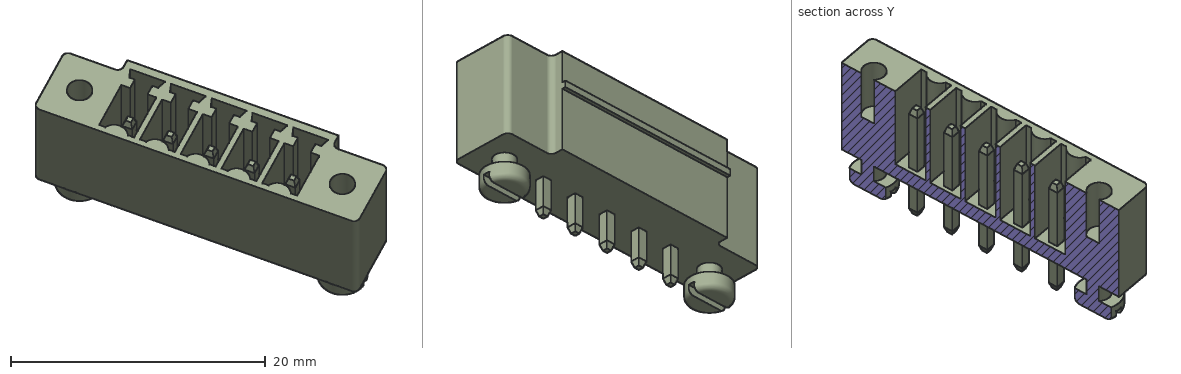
import cadquery as cq


length = 27.8
ear_depth = 6.0
center_width = 18.15
center_depth = 7.23
housing_height = 9.2
corner_radius = 0.5
corner_search = 0.03

rail_depth = 0.33
rail_height = 0.6
rail_bottom = 5.67

contact_count = 5
pitch = 3.5
row_y = ear_depth / 2

chamber_width = 3.0
chamber_front = 0.53
chamber_back = 6.5
floor_thickness = 1.5
neck_width = 1.5
neck_front = 4.8
neck_back = 5.73
dovetail_width = 2.5
bump_width = 1.92
bump_height = 0.58

pin_size = 0.85
pin_tip_size = 0.47
pin_taper = 0.58
pin_bottom = -3.4
pin_top = 7.73

screw_x = 11.3
screw_diameter = 2.0
head_diameter = 4.0
neck_length = 1.5
head_height = 1.5
head_radius = 0.5
slot_width = 0.6
slot_depth = 0.8
screw_hole_depth = housing_height / 2


def make_housing():
    """Rectangular block with a deeper middle section and rounded ears."""
    ears = cq.Workplane("XY").box(length, ear_depth, housing_height, centered=(True, False, False))
    middle = cq.Workplane("XY").box(center_width, center_depth, housing_height, centered=(True, False, False))
    ears = ears.edges("|Z").fillet(corner_radius)
    block = ears.union(middle)
    inner_corners = cq.selectors.BoxSelector(
        (-center_width / 2 - corner_radius, ear_depth - corner_search, 0),
        (center_width / 2 + corner_radius, ear_depth + corner_search, housing_height),
    )
    return block.edges("|Z").edges(inner_corners).fillet(corner_radius)


def make_rail():
    """Straight rail standing out from the back face."""
    return (
        cq.Workplane("XY", origin=(0, center_depth, rail_bottom))
        .box(center_width, rail_depth, rail_height, centered=(True, False, False))
    )


def make_chamber(x):
    """Pocket with a convex bump at the front, a narrow neck and a dovetail at the back."""
    half = chamber_width / 2
    return (
        cq.Workplane("XY", origin=(x, 0, floor_thickness))
        .moveTo(-half, chamber_front)
        .lineTo(-bump_width / 2, chamber_front)
        .threePointArc((0, chamber_front + bump_height), (bump_width / 2, chamber_front))
        .lineTo(half, chamber_front)
        .lineTo(half, neck_front)
        .lineTo(neck_width / 2, neck_front)
        .lineTo(neck_width / 2, neck_back)
        .lineTo(dovetail_width / 2, neck_back)
        .lineTo(half, chamber_back)
        .lineTo(-half, chamber_back)
        .lineTo(-dovetail_width / 2, neck_back)
        .lineTo(-neck_width / 2, neck_back)
        .lineTo(-neck_width / 2, neck_front)
        .lineTo(-half, neck_front)
        .close()
        .extrude(housing_height - floor_thickness)
    )


def make_pin(x):
    """Square pin tapered at both ends."""
    shank_bottom = pin_bottom + pin_taper
    shank_top = pin_top - pin_taper
    shank = (
        cq.Workplane("XY", origin=(x, row_y, shank_bottom))
        .rect(pin_size, pin_size)
        .extrude(shank_top - shank_bottom)
    )
    lower_tip = make_pin_tip(x, shank_bottom, -pin_taper)
    upper_tip = make_pin_tip(x, shank_top, pin_taper)
    return shank.union(lower_tip).union(upper_tip)


def make_pin_tip(x, base_z, rise):
    """Pyramid frustum from the full pin section to the tip section."""
    return (
        cq.Workplane("XY", origin=(x, row_y, base_z))
        .rect(pin_size, pin_size)
        .workplane(offset=rise)
        .rect(pin_tip_size, pin_tip_size)
        .loft()
    )


def make_screw(x):
    """Screw neck below the housing with a rounded, slotted head."""
    head_bottom = -neck_length - head_height
    neck = (
        cq.Workplane("XY", origin=(x, row_y, -neck_length))
        .circle(screw_diameter / 2)
        .extrude(neck_length)
    )
    head = (
        cq.Workplane("XY", origin=(x, row_y, head_bottom))
        .circle(head_diameter / 2)
        .extrude(head_height)
        .faces("<Z")
        .edges()
        .fillet(head_radius)
    )
    slot = (
        cq.Workplane("XY", origin=(x, row_y, head_bottom))
        .box(head_diameter, slot_width, slot_depth, centered=(True, True, False))
    )
    return head.cut(slot).union(neck)


def make_screw_hole(x):
    """Blind hole down into the threaded bush."""
    return (
        cq.Workplane("XY", origin=(x, row_y, housing_height - screw_hole_depth))
        .circle(screw_diameter / 2)
        .extrude(screw_hole_depth)
    )


result = make_housing().union(make_rail())

for index in range(contact_count):
    contact_x = (index - (contact_count - 1) / 2) * pitch
    result = result.cut(make_chamber(contact_x)).union(make_pin(contact_x))

for side in (-1, 1):
    result = result.cut(make_screw_hole(side * screw_x)).union(make_screw(side * screw_x))